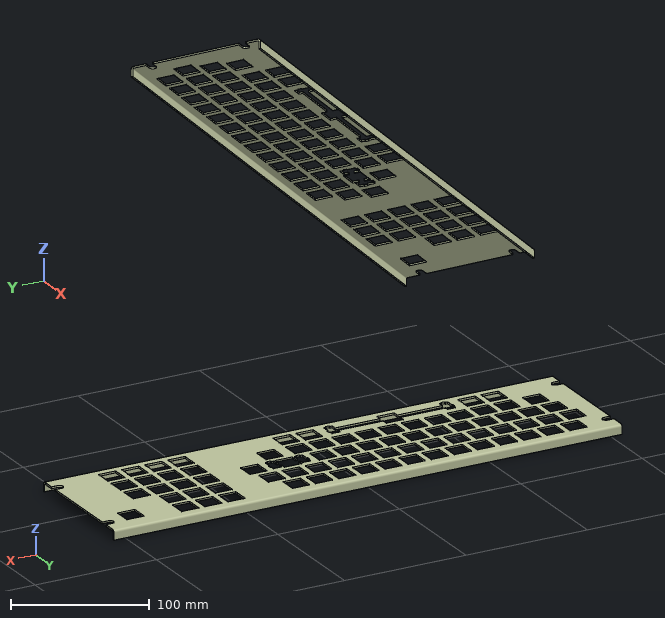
import cadquery as cq

LENGTH = 418.5
DEPTH = 106.5
HEIGHT = 8.0
THICKNESS = 1.5
BEND_RADIUS = 2.3

NUMBER_ROW_SPAN = 228.5
KEY_PITCH = NUMBER_ROW_SPAN / 12
KEY_WEB = 5.0
KEY_HOLE = KEY_PITCH - KEY_WEB
SPACE_BAR_PLACE = 5.75
SPACE_BAR_X = -68.2
FIRST_KEY_X = SPACE_BAR_X - SPACE_BAR_PLACE * KEY_PITCH
PAD_MIDDLE_X = 123.0
PAD_FIRST_X = PAD_MIDDLE_X - KEY_PITCH
LONE_KEY_X = 184.2
LONE_KEY_Y = 32.5

STABILISER_WIDTH = 6.5
STABILISER_TOP = 5.5
STABILISER_BOTTOM = 6.5
FOOT_WIDTH = 3.0
FOOT_DEPTH = 1.2
EAR_DEPTH = 0.9
EAR_TOP = 2.3
EAR_BOTTOM = -0.5
WIRE_SLOT_WIDTH = 4.5
SPACE_BAR_REACH = 2.5 * KEY_PITCH
WIDE_KEY_SPACING = 24.0
WIDE_KEY_REACH = WIDE_KEY_SPACING / 2

SLOT_WIDTH = 5.5
SLOT_DEPTH = 8.0
SLOT_SPACING = 76.0

WIDE_KEY_PLACE = 11.25
MAIN_ROWS = {
    2: list(range(13)),
    1: [step - 0.5 for step in range(14)],
    0: [step - 0.25 for step in range(11)] + [WIDE_KEY_PLACE, 12.75],
    -1: [0] + [step + 1.25 for step in range(10)] + [11.5],
    -2: [1.25, 2.25, SPACE_BAR_PLACE, 9.25, 10.25],
}
PAD_COLUMNS = {2: 3, 1: 3, 0: 4, -1: 4, -2: 4}


def box_cutter(x_min, x_max, y_min, y_max):
    """Rectangular cutter that passes through the whole height."""
    return (
        cq.Workplane("XY")
        .center((x_min + x_max) / 2, (y_min + y_max) / 2)
        .rect(x_max - x_min, y_max - y_min)
        .extrude(HEIGHT)
    )


def channel():
    """Sheet with both long edges bent down over rounded outer corners."""
    outer = (
        cq.Workplane("XY")
        .box(LENGTH, DEPTH, HEIGHT, centered=(True, True, False))
        .edges("|X and >Z")
        .fillet(BEND_RADIUS)
    )
    inside = (
        cq.Workplane("XY")
        .box(LENGTH, DEPTH - 2 * THICKNESS, HEIGHT - THICKNESS, centered=(True, True, False))
        .edges("|X and >Z")
        .fillet(BEND_RADIUS - THICKNESS)
    )
    return outer.cut(inside)


def main_key_x(place):
    return FIRST_KEY_X + place * KEY_PITCH


def key_centres():
    """Centres of every square switch hole."""
    centres = [(LONE_KEY_X, LONE_KEY_Y)]
    for row, places in MAIN_ROWS.items():
        centres += [(main_key_x(place), row * KEY_PITCH) for place in places]
    for row, columns in PAD_COLUMNS.items():
        centres += [(PAD_FIRST_X + column * KEY_PITCH, row * KEY_PITCH) for column in range(columns)]
    return centres


def stabiliser_cutter(x, y, reach):
    """Wire slot with a footed, outward-eared opening at each end."""
    cutter = box_cutter(x - reach, x + reach, y - WIRE_SLOT_WIDTH / 2, y + WIRE_SLOT_WIDTH / 2)
    for side in (-1, 1):
        end_x = x + side * reach
        half_width = STABILISER_WIDTH / 2
        half_foot = FOOT_WIDTH / 2
        ear_tip = end_x + side * (half_width + EAR_DEPTH)
        bottom = y - STABILISER_BOTTOM
        body = box_cutter(end_x - half_width, end_x + half_width, bottom, y + STABILISER_TOP)
        foot = box_cutter(end_x - half_foot, end_x + half_foot, bottom - FOOT_DEPTH, y)
        ear = box_cutter(min(end_x, ear_tip), max(end_x, ear_tip), y + EAR_BOTTOM, y + EAR_TOP)
        cutter = cutter.union(body).union(foot).union(ear)
    return cutter


def mounting_slots():
    """Round-ended slots, open at the short edges of the sheet."""
    return (
        cq.Workplane("XY")
        .rect(LENGTH, SLOT_SPACING, forConstruction=True)
        .vertices()
        .slot2D(2 * SLOT_DEPTH, SLOT_WIDTH)
        .extrude(HEIGHT)
    )


switch_holes = cq.Workplane("XY").pushPoints(key_centres()).rect(KEY_HOLE, KEY_HOLE).extrude(HEIGHT)

result = (
    channel()
    .cut(switch_holes)
    .cut(stabiliser_cutter(main_key_x(SPACE_BAR_PLACE), -2 * KEY_PITCH, SPACE_BAR_REACH))
    .cut(stabiliser_cutter(main_key_x(WIDE_KEY_PLACE), 0, WIDE_KEY_REACH))
    .cut(mounting_slots())
)